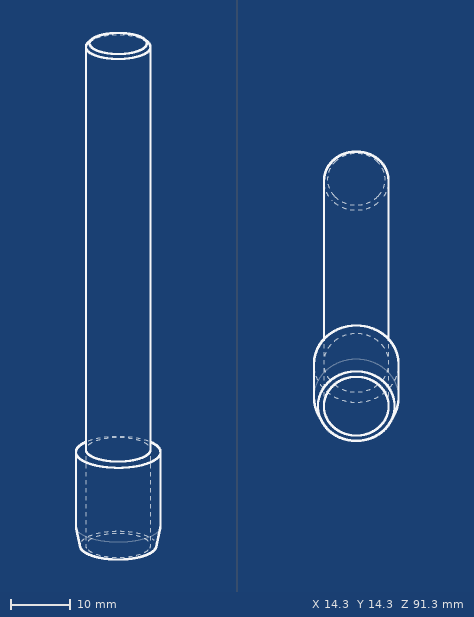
import cadquery as cq

TOTAL_HEIGHT = 91.3
ROD_RADIUS = 5.5
ROD_CHAMFER = 0.6

SLEEVE_RADIUS = 7.17
SLEEVE_HEIGHT = 17.4
TOP_CONE_HEIGHT = 0.5
NOSE_HEIGHT = 3.5
NOSE_END_RADIUS = 6.5


def make_rod():
    """Full-length round rod with a chamfered upper end."""
    rod = cq.Workplane("XY").circle(ROD_RADIUS).extrude(TOTAL_HEIGHT)
    return rod.faces(">Z").chamfer(ROD_CHAMFER)


def make_sleeve():
    """Revolved sleeve with a through bore that fits the rod."""
    profile = (
        cq.Workplane("XZ")
        .moveTo(ROD_RADIUS, 0)
        .lineTo(NOSE_END_RADIUS, 0)
        .lineTo(SLEEVE_RADIUS, NOSE_HEIGHT)
        .lineTo(SLEEVE_RADIUS, SLEEVE_HEIGHT - TOP_CONE_HEIGHT)
        .lineTo(ROD_RADIUS, SLEEVE_HEIGHT)
        .close()
    )
    return profile.revolve(360, (0, 0, 0), (0, 1, 0))


rod = make_rod()
sleeve = make_sleeve()

result = cq.Compound.makeCompound([rod.val(), sleeve.val()])